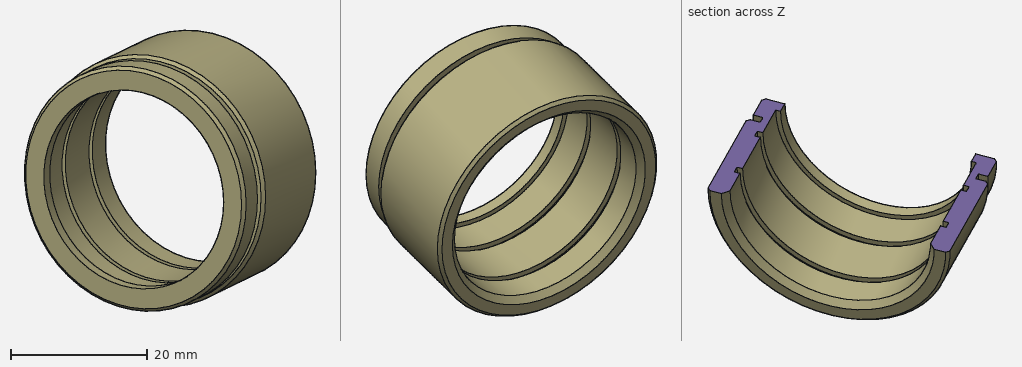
import cadquery as cq

length = 21.5
body_diameter = 38.1
front_land_diameter = 37.0
front_land_length = 4.0
outer_groove_diameter = 34.0
outer_groove_width = 1.0
outer_chamfer = 0.5

lip_diameter = 30.0
lip_length = 1.83
bore_diameter = 31.5
back_bore_chamfer = 1.0

inner_groove_diameter = 33.25
inner_groove_width = 1.0
inner_groove_starts = (7.05, 15.35)


def cylinder(diameter, start, end):
    """Solid cylinder along Y between two distances from the front face."""
    front_plane = cq.Workplane("XZ", origin=(0, start - length / 2, 0))
    return front_plane.circle(diameter / 2).extrude(start - end)


body_start = front_land_length + outer_groove_width
front_land = cylinder(front_land_diameter, 0, front_land_length).faces("<Y").chamfer(outer_chamfer)
groove_floor = cylinder(outer_groove_diameter, front_land_length, body_start)
body = cylinder(body_diameter, body_start, length).faces("<Y or >Y").chamfer(outer_chamfer)
outside = front_land.union(groove_floor).union(body)

inside = cylinder(lip_diameter, 0, lip_length).union(cylinder(bore_diameter, lip_length, length))
for groove_start in inner_groove_starts:
    groove_end = groove_start + inner_groove_width
    inside = inside.union(cylinder(inner_groove_diameter, groove_start, groove_end))

ring = outside.cut(inside)

back_rim = ring.faces(">Y").edges(cq.selectors.RadiusNthSelector(0))
result = back_rim.chamfer(back_bore_chamfer)